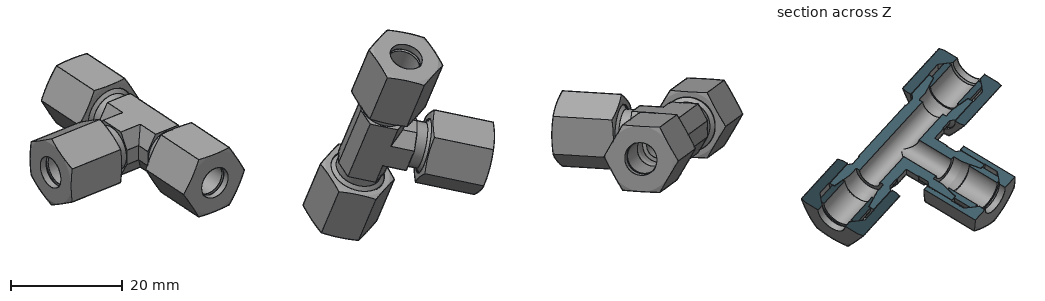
import cadquery as cq
import math


END_REACH = 21.0
PASSAGE_DIAMETER = 4.5
TUBE_DIAMETER = 6.0

BODY_ACROSS_FLATS = 9.0
BODY_HALF_WIDTH = 4.33
FORGING_REACH = 7.0
NECK_RADIUS = 4.2
NECK_END = 9.05
THREAD_RADIUS = 5.0
BODY_REACH = 15.0
SOCKET_STOP = 9.5
SEAT_MOUTH_RADIUS = 3.8
SEAT_HALF_ANGLE = 12.0

NUT_ACROSS_FLATS = 12.0
NUT_LENGTH = 11.5
NUT_CHAMFER_ANGLE = 15.0
NUT_LIP = 1.3

FERRULE_SETBACK = 1.8
FERRULE_COLLAR_RADIUS = 4.3
FERRULE_NOSE_LENGTH = 2.1

CORNER_TO_FLAT_ANGLE = 30

PASSAGE_RADIUS = PASSAGE_DIAMETER / 2
TUBE_RADIUS = TUBE_DIAMETER / 2
CORNER_RATIO = 1 / math.cos(math.radians(CORNER_TO_FLAT_ANGLE))
NUT_START = END_REACH - NUT_LENGTH
NUT_FACE_RADIUS = NUT_ACROSS_FLATS / 2
NUT_CORNER_RADIUS = NUT_FACE_RADIUS * CORNER_RATIO
NUT_CHAMFER_DEPTH = (NUT_CORNER_RADIUS - NUT_FACE_RADIUS) * math.tan(math.radians(NUT_CHAMFER_ANGLE))
NUT_CONE_OUTER_END = END_REACH - NUT_LIP
NUT_CONE_INNER_END = NUT_CONE_OUTER_END - (THREAD_RADIUS - TUBE_RADIUS)
THREAD_START = NECK_END + THREAD_RADIUS - NECK_RADIUS
SEAT_TAPER = math.tan(math.radians(SEAT_HALF_ANGLE))
SEAT_DEPTH = (SEAT_MOUTH_RADIUS - TUBE_RADIUS) / SEAT_TAPER
FERRULE_BACK = END_REACH - FERRULE_SETBACK
FERRULE_BACK_RADIUS = TUBE_RADIUS + FERRULE_SETBACK - NUT_LIP
FERRULE_COLLAR_END = FERRULE_BACK - (FERRULE_COLLAR_RADIUS - FERRULE_BACK_RADIUS)
FERRULE_NOSE = BODY_REACH - FERRULE_NOSE_LENGTH
FERRULE_NOSE_RADIUS = SEAT_MOUTH_RADIUS - FERRULE_NOSE_LENGTH * SEAT_TAPER

ENDS = [
    (0, 0),
    (180, 0),
    (-90, CORNER_TO_FLAT_ANGLE),
]


def revolved(points):
    """Solid of revolution about X from (x, radius) points."""
    return cq.Workplane("XY").polyline(points).close().revolve(360, (0, 0, 0), (1, 0, 0))


def hexagon_bar(start, length, across_flats):
    """Hexagonal bar along X with corners at +-Y and flats at +-Z."""
    corner_diameter = across_flats * CORNER_RATIO
    return cq.Workplane("YZ", origin=(start, 0, 0)).polygon(6, corner_diameter).extrude(length)


def turned(shape, angle):
    """Shape turned about Z through the tee centre."""
    return shape.rotate((0, 0, 0), (0, 0, 1), angle)


def make_body_arm():
    """Forged arm with its neck and threaded end, before boring."""
    trim = cq.Workplane("XY").box(2 * FORGING_REACH, 2 * BODY_HALF_WIDTH, BODY_ACROSS_FLATS)
    forging = hexagon_bar(0, FORGING_REACH, BODY_ACROSS_FLATS).intersect(trim)
    threaded_end = revolved([
        (0, 0),
        (0, NECK_RADIUS),
        (NECK_END, NECK_RADIUS),
        (THREAD_START, THREAD_RADIUS),
        (BODY_REACH, THREAD_RADIUS),
        (BODY_REACH, 0),
    ])
    return forging.union(threaded_end)


def make_body_bore():
    """Flow passage, tube socket and conical ferrule seat of one arm."""
    return revolved([
        (0, 0),
        (0, PASSAGE_RADIUS),
        (SOCKET_STOP, PASSAGE_RADIUS),
        (SOCKET_STOP, TUBE_RADIUS),
        (BODY_REACH - SEAT_DEPTH, TUBE_RADIUS),
        (BODY_REACH, SEAT_MOUTH_RADIUS),
        (BODY_REACH, 0),
    ])


def make_body():
    """Tee body: three arms joined, then bored."""
    body = cq.Workplane("XY")
    for angle, _ in ENDS:
        body = body.union(turned(make_body_arm(), angle))
    for angle, _ in ENDS:
        body = body.cut(turned(make_body_bore(), angle))
    return body


def make_nut():
    """Hexagon nut, chamfered at both ends, with its stepped and coned hole."""
    chamfer_envelope = revolved([
        (NUT_START, 0),
        (NUT_START, NUT_FACE_RADIUS),
        (NUT_START + NUT_CHAMFER_DEPTH, NUT_CORNER_RADIUS),
        (END_REACH - NUT_CHAMFER_DEPTH, NUT_CORNER_RADIUS),
        (END_REACH, NUT_FACE_RADIUS),
        (END_REACH, 0),
    ])
    hole = revolved([
        (NUT_START, 0),
        (NUT_START, THREAD_RADIUS),
        (NUT_CONE_INNER_END, THREAD_RADIUS),
        (NUT_CONE_OUTER_END, TUBE_RADIUS),
        (END_REACH, TUBE_RADIUS),
        (END_REACH, 0),
    ])
    return hexagon_bar(NUT_START, NUT_LENGTH, NUT_ACROSS_FLATS).intersect(chamfer_envelope).cut(hole)


def make_ferrule():
    """Ring ferrule resting in the body seat and against the nut cone."""
    return revolved([
        (FERRULE_NOSE, TUBE_RADIUS),
        (FERRULE_NOSE, FERRULE_NOSE_RADIUS),
        (BODY_REACH, SEAT_MOUTH_RADIUS),
        (BODY_REACH, FERRULE_COLLAR_RADIUS),
        (FERRULE_COLLAR_END, FERRULE_COLLAR_RADIUS),
        (FERRULE_BACK, FERRULE_BACK_RADIUS),
        (FERRULE_BACK, TUBE_RADIUS),
    ])


body = make_body()

nuts = []
ferrules = []
for angle, nut_roll in ENDS:
    rolled_nut = make_nut().rotate((0, 0, 0), (1, 0, 0), nut_roll)
    nuts.append(turned(rolled_nut, angle).solids().val())
    ferrules.append(turned(make_ferrule(), angle).val())

result = cq.Compound.makeCompound([body.solids().val(), *nuts, *ferrules])